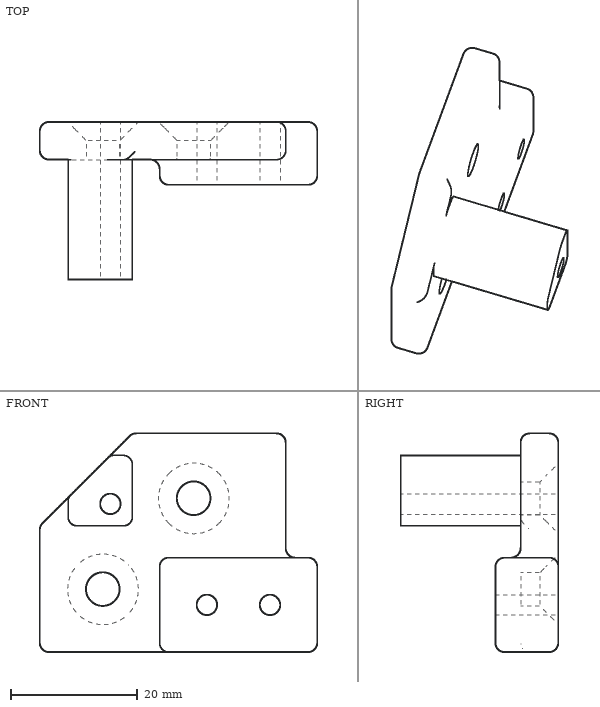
import cadquery as cq


plate_width = 39.0
plate_height = 34.7
plate_depth = 6.0
corner_cut_height = 20.0
corner_cut = plate_height - corner_cut_height

block_left = 19.0
block_right = 44.0
block_height = 15.0
block_depth = 10.0

post_left = 4.5
post_right = corner_cut
post_bottom = corner_cut_height
post_top = 31.2
post_depth = 25.0

edge_radius = 1.5

bolt_diameter = 5.3
bolt_head_diameter = 11.2
bolt_first = 10.0
bolt_pitch = 14.4
bolt_steps = [bolt_first, bolt_first + bolt_pitch]
bolt_points = [(step, step) for step in bolt_steps]

screw_diameter = 3.2
block_screw_first = 26.5
block_screw_pitch = 10.0
post_screw_inset = 3.5
screw_points = [
    (block_screw_first, block_height / 2),
    (block_screw_first + block_screw_pitch, block_height / 2),
    (post_right - post_screw_inset, post_bottom + post_screw_inset),
]


def box(left, right, bottom, top, depth):
    """Box reaching forwards from the back face."""
    return (
        cq.Workplane("XZ")
        .moveTo(left, bottom)
        .lineTo(right, bottom)
        .lineTo(right, top)
        .lineTo(left, top)
        .close()
        .extrude(depth)
    )


def corner_wedge(depth):
    """Triangular prism that trims the upper left corner."""
    return (
        cq.Workplane("XZ")
        .moveTo(0, corner_cut_height)
        .lineTo(0, plate_height)
        .lineTo(corner_cut, plate_height)
        .close()
        .extrude(depth)
    )


def make_body():
    """Plate and block with every edge rounded except the front edge of the corner cut."""
    plate = box(0, plate_width, 0, plate_height, plate_depth).cut(corner_wedge(plate_depth))
    block = box(block_left, block_right, 0, block_height, block_depth)
    body = plate.union(block).clean()
    cut_front_middle = (corner_cut / 2, -plate_depth, corner_cut_height + corner_cut / 2)
    sharp_edge = body.edges(cq.NearestToPointSelector(cut_front_middle)).val()
    rounded_edges = [edge for edge in body.edges().vals() if not edge.isSame(sharp_edge)]
    return body.newObject(rounded_edges).fillet(edge_radius)


def make_post():
    """Post with rounded long edges, starting halfway into the plate."""
    post = box(post_left, post_right, post_bottom, post_top, post_depth)
    post = post.cut(corner_wedge(post_depth)).edges("|Y").fillet(edge_radius)
    return post.cut(box(post_left, post_right, post_bottom, post_top, plate_depth / 2))


def round_holes(points, diameter):
    """Round cutters through the full depth of the part."""
    return cq.Workplane("XZ").pushPoints(points).circle(diameter / 2).extrude(post_depth)


def countersink(x, z):
    """Conical cutter for a bolt head, narrowing from the back face forwards."""
    sink_depth = (bolt_head_diameter - bolt_diameter) / 2
    cone = cq.Solid.makeCone(
        bolt_head_diameter / 2,
        bolt_diameter / 2,
        sink_depth,
        cq.Vector(x, 0, z),
        cq.Vector(0, -1, 0),
    )
    return cq.Workplane(cone)


result = make_body().union(make_post())
result = result.cut(round_holes(bolt_points, bolt_diameter))
result = result.cut(round_holes(screw_points, screw_diameter))
for bolt_x, bolt_z in bolt_points:
    result = result.cut(countersink(bolt_x, bolt_z))